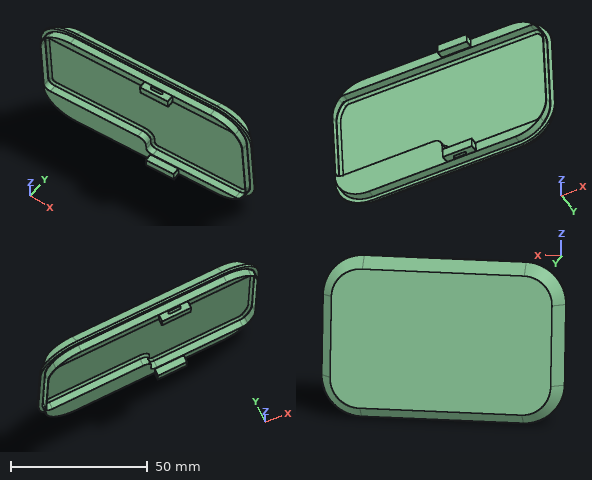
import cadquery as cq
import math

LENGTH = 90.0
HEIGHT = LENGTH * 2 / 3
CORNER_RADIUS = HEIGHT / 4
PLUG_INSET = 1.6

TILT_ANGLE = 4.0
SLOPE = math.tan(math.radians(TILT_ANGLE))
NORMAL = cq.Vector(-SLOPE, 1, SLOPE)

BACKMOST = cq.selectors.DirectionMinMaxSelector(NORMAL)

PLUG_DEPTH = 3.0
RIM_DEPTH = 1.0
BACK_CHAMFER = 4.1
BACK_HEIGHT = RIM_DEPTH + BACK_CHAMFER

POCKET_WALL = 0.3
POCKET_TOP = 24.0
POCKET_FLOOR = RIM_DEPTH
FLOOR_CHAMFER = 1.0
LEDGE_TOP = -15.6
LEDGE_END = 0.4
LEDGE_RADIUS = 3.4
POCKET_RADIUS = 2.5

BLOCK_LENGTH = 12.0
BLOCK_CENTRE = 8.0
BLOCK_INNER = 24.5
BLOCK_INSET = 0.1
BLOCK_OUTER = HEIGHT / 2 - PLUG_INSET - BLOCK_INSET
BLOCK_DEPTH = 3.0
BEAD_LENGTH = 5.0
BEAD_WIDTH = 1.1
BEAD_HEIGHT = 0.5
BEAD_ROUNDING = 0.3
BEAD_OFFSET = 1.0

MARGIN = 18.0


def upright_at(x, z):
    """Selector for the edge along Y that passes through (x, z)."""
    reach = 0.45
    return cq.selectors.BoxSelector((x - reach, -MARGIN, z - reach), (x + reach, MARGIN, z + reach))


def tilted_layer(front, back):
    """Slab between two tilted planes that cross the Y axis at front and back."""
    plane = cq.Plane(origin=(0, front, 0), xDir=(1, SLOPE, 0), normal=NORMAL.toTuple())
    thickness = (back - front) / NORMAL.Length
    return cq.Workplane(plane).rect(2 * LENGTH, 2 * LENGTH).extrude(thickness)


def block_along_y(x_min, x_max, z_min, z_max):
    """Rectangular bar along Y, long enough to cross every layer."""
    return cq.Workplane("XY").box(
        x_max - x_min, 2 * MARGIN, z_max - z_min
    ).translate(((x_min + x_max) / 2, 0, (z_min + z_max) / 2))


def lid_bar(inset):
    """Bar along Y with the lid outline moved inwards by inset."""
    half_length = LENGTH / 2 - inset
    half_height = HEIGHT / 2 - inset
    bar = block_along_y(-half_length, half_length, -half_height, half_height)
    return bar.edges("|Y").fillet(CORNER_RADIUS - inset)


def rim():
    """Flange with the tilted back and the broad chamfer around it."""
    body = lid_bar(0).intersect(tilted_layer(0, BACK_HEIGHT))
    return body.faces(BACKMOST).edges().chamfer(BACK_CHAMFER)


def plug():
    """Solid plug standing in front of the rim."""
    return lid_bar(PLUG_INSET).intersect(tilted_layer(-PLUG_DEPTH, RIM_DEPTH))


def pocket():
    """Cutter for the pocket: clear of the lower-left corner, with a chamfered floor."""
    half_length = LENGTH / 2 - PLUG_INSET - POCKET_WALL
    bar = block_along_y(-half_length, half_length, -POCKET_TOP, POCKET_TOP)
    bar = bar.cut(block_along_y(-LENGTH, LEDGE_END, -HEIGHT, LEDGE_TOP))
    bar = bar.edges(upright_at(LEDGE_END, LEDGE_TOP)).fillet(LEDGE_RADIUS)
    for x, z in ((-half_length, LEDGE_TOP), (LEDGE_END, -POCKET_TOP)):
        bar = bar.edges(upright_at(x, z)).fillet(POCKET_RADIUS)

    bar = bar.intersect(lid_bar(PLUG_INSET + POCKET_WALL))
    corner_radius = CORNER_RADIUS - PLUG_INSET - POCKET_WALL
    arc_centre_x = LENGTH / 2 - CORNER_RADIUS
    arc_centre_z = HEIGHT / 2 - CORNER_RADIUS
    knuckle_x = arc_centre_x + math.sqrt(corner_radius**2 - (POCKET_TOP - arc_centre_z)**2)
    for x, z in ((-knuckle_x, POCKET_TOP), (knuckle_x, POCKET_TOP), (knuckle_x, -POCKET_TOP)):
        bar = bar.edges(upright_at(x, z)).fillet(POCKET_RADIUS)

    bar = bar.intersect(tilted_layer(-MARGIN / 2, POCKET_FLOOR))
    return bar.faces(BACKMOST).edges().chamfer(FLOOR_CHAMFER)


def bead(side):
    """Rounded, slot-shaped bead on the outer face of a snap block, leaning with the layers."""
    z = side * BLOCK_OUTER
    y = SLOPE * (BLOCK_CENTRE - z) - PLUG_DEPTH - BEAD_OFFSET
    pad = cq.Workplane("XY").slot2D(BEAD_LENGTH, BEAD_WIDTH, TILT_ANGLE).extrude(side * BEAD_HEIGHT)
    outer_face = cq.selectors.DirectionMinMaxSelector(cq.Vector(0, 0, side))
    return pad.faces(outer_face).edges().fillet(BEAD_ROUNDING).translate((BLOCK_CENTRE, y, z))


def snap_block(side):
    """Block projecting forward from the plug; side is +1 at the top, -1 at the bottom."""
    z_limits = sorted((side * BLOCK_INNER, side * BLOCK_OUTER))
    bar = block_along_y(BLOCK_CENTRE - BLOCK_LENGTH / 2, BLOCK_CENTRE + BLOCK_LENGTH / 2, *z_limits)
    return bar.intersect(tilted_layer(-PLUG_DEPTH - BLOCK_DEPTH, 0))


result = rim().union(plug()).cut(pocket())
for side in (1, -1):
    result = result.union(snap_block(side)).union(bead(side))